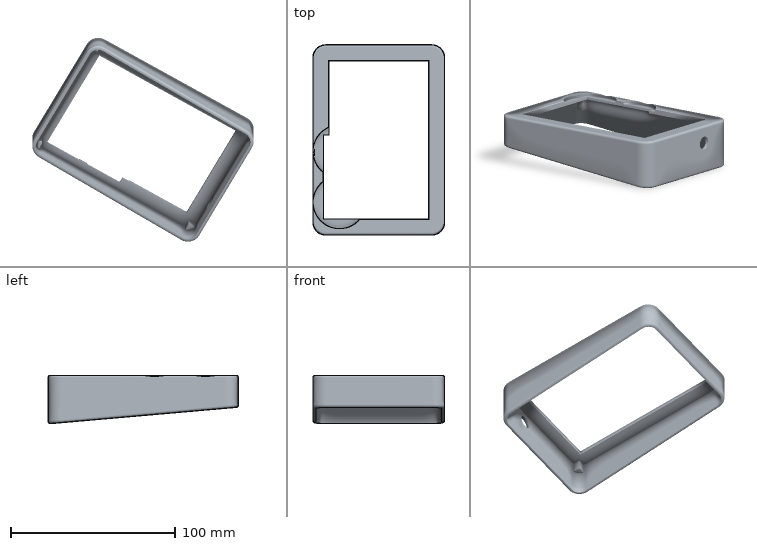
import cadquery as cq
import math

WIDTH = 80.27
LENGTH = 115.99
HEIGHT = 29.45
CORNER_RADIUS = 8.0
SLOPE_ANGLE = 5.0
TOP_EDGE_RADIUS = 1.5
BOTTOM_EDGE_RADIUS = 1.5

WALL = 2.0
LIP_THICKNESS = 3.4

FRAME_BORDER = 9.9
WINDOW_CHAMFER = 0.4
NOTCH_DEPTH = 3.4
NOTCH_BACK_Y = 3.0

RECESS_RADIUS = 16.1
RECESS_DEPTH = 1.9
RECESS_FLOOR_FILLET = 0.7
RECESS_X = -23.9
RECESS_YS = (-6.9, -37.9)

POST_SIZE = 4.5
POST_HEIGHT = 7.4

CABLE_HOLE_DIAMETER = 8.0
CABLE_HOLE_X = -15.3
CABLE_HOLE_DROP = 10.7

TOP_Z = HEIGHT / 2
BOTTOM_Z = -HEIGHT / 2
LIP_Z = TOP_Z - LIP_THICKNESS
WINDOW_WIDTH = WIDTH - 2 * FRAME_BORDER
WINDOW_LENGTH = LENGTH - 2 * FRAME_BORDER
INNER_WIDTH = WIDTH - 2 * WALL
INNER_LENGTH = LENGTH - 2 * WALL
SLOPE = math.radians(SLOPE_ANGLE)
EDGE_TRIM = BOTTOM_EDGE_RADIUS * (math.tan(SLOPE) + 1 / math.cos(SLOPE) - 1)


def rounded_block(width, length, radius, bottom, top):
    """Upright block centred on Z with rounded vertical corners."""
    return (
        cq.Workplane("XY")
        .workplane(offset=bottom)
        .rect(width, length)
        .extrude(top - bottom)
        .edges("|Z")
        .fillet(radius)
    )


def wedge_body():
    """Outer body with its underside rising towards the front."""
    back_z = BOTTOM_Z - EDGE_TRIM
    front_z = back_z + LENGTH * math.tan(SLOPE)
    body = rounded_block(WIDTH, LENGTH, CORNER_RADIUS, back_z, TOP_Z)
    below = (
        cq.Workplane("YZ")
        .polyline([(LENGTH / 2, back_z), (-LENGTH / 2, front_z), (-LENGTH / 2, back_z)])
        .close()
        .extrude(WIDTH / 2, both=True)
    )
    body = body.cut(below)
    body = body.faces(">Z").edges().fillet(TOP_EDGE_RADIUS)
    return body.faces("<Z").edges().fillet(BOTTOM_EDGE_RADIUS)


def cavity():
    """Space inside the walls, open below, with the corner posts left standing."""
    space = rounded_block(
        INNER_WIDTH, INNER_LENGTH, CORNER_RADIUS - WALL, BOTTOM_Z - HEIGHT, LIP_Z
    )
    posts = (
        cq.Workplane("XY")
        .workplane(offset=LIP_Z)
        .rect(INNER_WIDTH - POST_SIZE, INNER_LENGTH - POST_SIZE, forConstruction=True)
        .vertices()
        .rect(POST_SIZE, POST_SIZE)
        .extrude(-POST_HEIGHT)
    )
    return space.cut(posts)


def window():
    """Opening through the lip, flared by a chamfer at the top face."""
    right = WINDOW_WIDTH / 2
    back = WINDOW_LENGTH / 2
    outline = [
        (right, back),
        (-right, back),
        (-right, NOTCH_BACK_Y),
        (-right - NOTCH_DEPTH, NOTCH_BACK_Y),
        (-right - NOTCH_DEPTH, -back),
        (right, -back),
    ]
    opening = cq.Workplane("XY").workplane(offset=LIP_Z).polyline(outline).close().extrude(LIP_THICKNESS)
    flare = (
        cq.Workplane("XY")
        .workplane(offset=TOP_Z)
        .polyline(outline)
        .close()
        .offset2D(WINDOW_CHAMFER, "intersection")
        .extrude(-WINDOW_CHAMFER, taper=45)
    )
    return opening.union(flare)


def recess(y):
    """Shallow round recess in the top face, rounded where its wall meets its floor."""
    return (
        cq.Workplane("XY", origin=(RECESS_X, y, TOP_Z))
        .circle(RECESS_RADIUS)
        .extrude(-RECESS_DEPTH)
        .faces("<Z")
        .edges()
        .fillet(RECESS_FLOOR_FILLET)
    )


def cable_hole():
    """Round hole through the back wall."""
    return (
        cq.Workplane("XZ", origin=(CABLE_HOLE_X, LENGTH / 2, TOP_Z - CABLE_HOLE_DROP))
        .circle(CABLE_HOLE_DIAMETER / 2)
        .extrude(2 * WALL)
    )


result = wedge_body().cut(cavity()).cut(window()).cut(cable_hole())
for recess_y in RECESS_YS:
    result = result.cut(recess(recess_y))